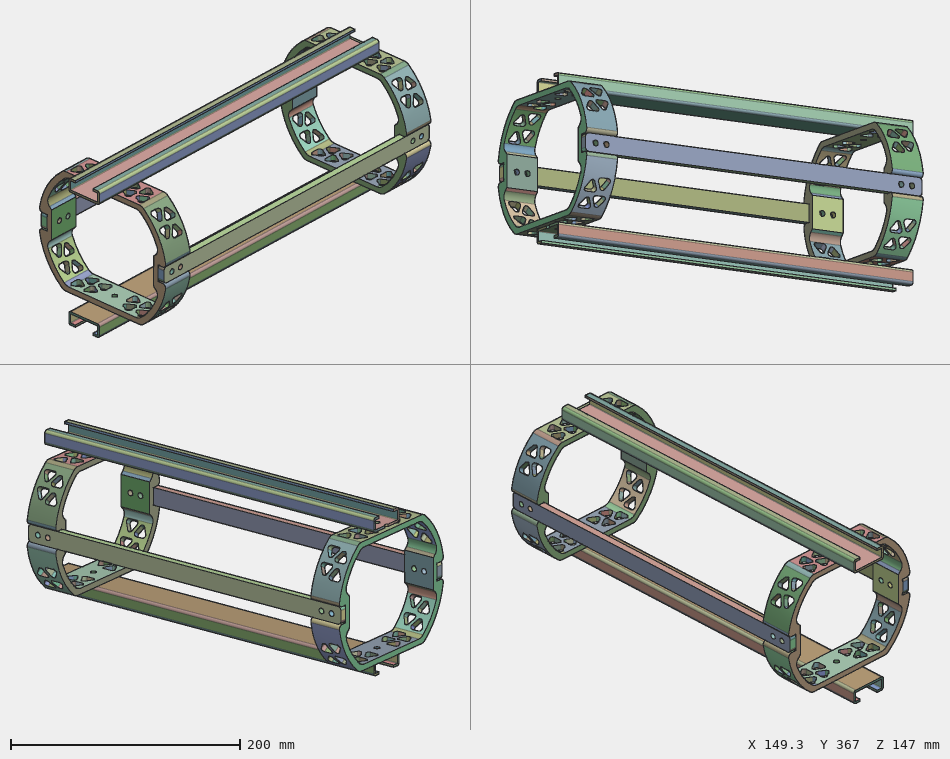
import cadquery as cq
import math

overall_length = 367.0
channel_length = 361.5
bar_length = 343.0
front_end = -overall_length / 2
rear_end = overall_length / 2
bar_middle = rear_end - bar_length / 2
screw_diameter = 5.0

ring_width = 31.5
ring_diameter = 151.2
opening_diameter = 138.5
flat_height = 120.0
flat_thickness = 5.5
outer_corner_radius = 8.0
inner_corner_radius = 9.0
ring_places = [
    front_end + (overall_length - bar_length) + ring_width / 2,
    rear_end - ring_width / 2,
]
ring_radius = ring_diameter / 2
inner_radius = opening_diameter / 2

pad_face = 60.0
pad_face_height = 30.0
pad_root_radius = 7.5

bar_thickness = 7.0
bar_height = 16.5
bar_outer_face = 72.5
bar_corner_radius = 3.3
bar_screw_spacing = 11.0
notch_lip_radius = 3.5
notch_floor = bar_outer_face - bar_thickness

triangle_side = 15.8
triangle_corner_radius = 2.5
flat_triangle_pitch = 15.5
side_triangle_pitch = 16.5
triangle_row_offset = 6.0
triangle_group_end = 15.0
flat_group_offset = 27.5
side_group_angle = 34.5
side_cut_depth = 11.0

channel_width = 36.5
channel_thickness = 2.2
channel_bend_radius = 2.5
channel_mouth = 21.0
end_notch_offset = 1.0
total_height = 147.0
channel_height = (total_height - flat_height) / 2
flat_face = flat_height / 2


def barrel(radius, height):
    """Cylinder along Y with flat top and bottom, one ring width long."""
    cylinder = cq.Workplane("XZ").circle(radius).extrude(ring_width / 2, both=True)
    return cylinder.intersect(cq.Workplane("XY").box(2 * radius, ring_width, height))


def both_sides(shape):
    """The shape together with its mirror image on the other side of X = 0."""
    return shape.union(shape.mirror("YZ"))


def triangle_group(plane, pitch, half_depth):
    """Cutter with two triangles pointing along the plane's +x and, beside them, two along -x."""
    triangle_length = triangle_side * math.sqrt(3) / 2
    group = cq.Workplane(plane)
    for direction in (1, -1):
        row = direction * triangle_row_offset
        for step in range(2):
            base = direction * (step * pitch - triangle_group_end)
            tip = base + direction * triangle_length
            group = group.polyline([
                (base, row - triangle_side / 2),
                (base, row + triangle_side / 2),
                (tip, row),
            ]).close()
    group = group.extrude(half_depth, both=True)
    upright = cq.selectors.ParallelDirSelector(plane.zDir)
    return group.edges(upright).fillet(triangle_corner_radius)


def flat_triangles():
    """Triangle group cut through the top and bottom flats."""
    plane = cq.Plane((flat_group_offset, 0, 0), xDir=(1, 0, 0), normal=(0, 0, 1))
    return triangle_group(plane, flat_triangle_pitch, flat_height)


def side_triangles(angle, rising):
    """Triangle group cut radially through the +X wall at an angle above the X axis.

    The triangles in the rear row point up (rising = 1) or down (rising = -1).
    """
    cosine = math.cos(math.radians(angle))
    sine = math.sin(math.radians(angle))
    plane = cq.Plane(
        (ring_radius * cosine, 0, ring_radius * sine),
        xDir=(-rising * sine, 0, rising * cosine),
        normal=(-rising * cosine, 0, -rising * sine),
    )
    return triangle_group(plane, side_triangle_pitch, side_cut_depth)


def pad():
    """Pad behind the +X bar; its 45 degree flanks run out into the round wall."""
    half_face = pad_face_height / 2
    depth = ring_radius - pad_face
    return (
        cq.Workplane("XZ")
        .polyline([
            (pad_face, -half_face),
            (ring_radius, -half_face - depth),
            (ring_radius, half_face + depth),
            (pad_face, half_face),
        ])
        .close()
        .extrude(ring_width / 2, both=True)
    )


def ring_opening():
    """Inside of a ring: a smaller barrel with the two pads left standing."""
    opening = barrel(inner_radius, flat_height - 2 * flat_thickness)
    opening = opening.edges("|Y").fillet(inner_corner_radius)
    opening = opening.cut(both_sides(pad()))
    return opening.edges("|Y and (>X or <X)").fillet(pad_root_radius)


def notched_barrel():
    """Outside of a ring, with a round-lipped notch for each bar."""
    outside = barrel(ring_radius, flat_height)
    outside = outside.edges("|Y").fillet(outer_corner_radius)
    notch_depth = ring_radius - notch_floor
    notch = cq.Workplane("XY").box(
        notch_depth, ring_width, bar_height, centered=(False, True, True)
    )
    outside = outside.cut(both_sides(notch.translate((notch_floor, 0, 0))))
    return outside.edges("|Y and (>X or <X)").fillet(notch_lip_radius)


def bar_screw_holes():
    """Two holes along X through both pads of one ring centred on the origin."""
    return (
        cq.Workplane("YZ")
        .pushPoints([(-bar_screw_spacing / 2, 0), (bar_screw_spacing / 2, 0)])
        .circle(screw_diameter / 2)
        .extrude(ring_diameter, both=True)
    )


def channel_screw_hole():
    """One hole along Z, on the origin."""
    return cq.Workplane("XY").circle(screw_diameter / 2).extrude(total_height, both=True)


def make_ring(place):
    ring = notched_barrel().cut(ring_opening())
    ring = ring.cut(both_sides(flat_triangles()))
    for level in (1, -1):
        angle = level * side_group_angle
        ring = ring.cut(side_triangles(angle, level))
        ring = ring.cut(side_triangles(angle, 1).mirror("YZ"))
    ring = ring.cut(bar_screw_holes())
    ring = ring.cut(channel_screw_hole())
    return ring.translate((0, place, 0))


def make_bar(side):
    """Flat bar on the +X side (side = 1) or the -X side (side = -1)."""
    bar = cq.Workplane("XY").box(bar_thickness, bar_length, bar_height)
    bar = bar.edges("|X").fillet(bar_corner_radius)
    bar = bar.translate((side * (bar_outer_face - bar_thickness / 2), bar_middle, 0))
    for place in ring_places:
        bar = bar.cut(bar_screw_holes().translate((0, place, 0)))
    return bar


def make_top_channel():
    """Channel standing on the top flats, its mouth facing up."""
    outside = cq.Workplane("XY").box(
        channel_width, channel_length, channel_height, centered=(True, False, False)
    )
    outside = outside.edges("|Y").fillet(channel_bend_radius)
    inside = cq.Workplane("XY").box(
        channel_width - 2 * channel_thickness,
        channel_length,
        channel_height - 2 * channel_thickness,
        centered=(True, False, False),
    )
    inside = inside.edges("|Y").fillet(channel_bend_radius - channel_thickness)
    inside = inside.translate((0, 0, channel_thickness))
    mouth = cq.Workplane("XY").box(
        channel_mouth, channel_length, channel_height, centered=(True, False, False)
    )
    channel = outside.cut(inside).cut(mouth.translate((0, 0, channel_thickness)))
    channel = channel.translate((0, front_end, flat_face))
    channel = channel.cut(channel_screw_hole().translate((0, ring_places[1], 0)))
    notch_place = front_end + channel_length + end_notch_offset
    return channel.cut(channel_screw_hole().translate((0, notch_place, 0)))


rings = [make_ring(place) for place in ring_places]
bars = [make_bar(side) for side in (1, -1)]
top_channel = make_top_channel()
channels = [top_channel, top_channel.mirror("XY")]

result = cq.Compound.makeCompound([body.val() for body in rings + bars + channels])